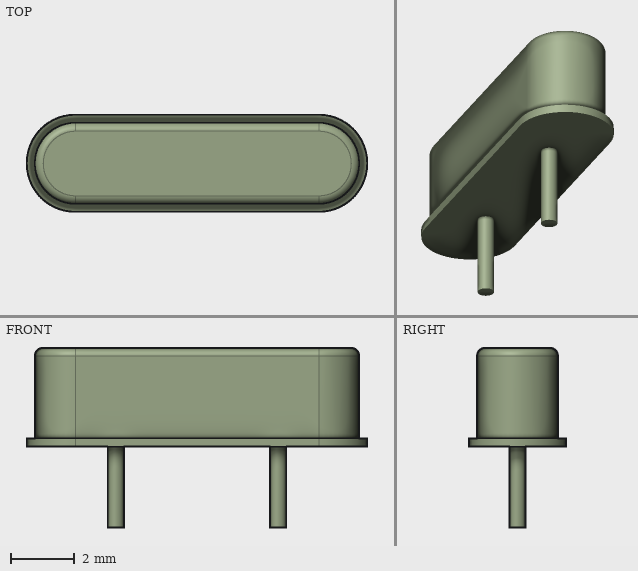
import cadquery as cq

flange_length = 10.67
flange_width = 3.05
flange_thickness = 0.26

flange_lip = 0.26
can_length = flange_length - 2 * flange_lip
can_width = flange_width - 2 * flange_lip
total_height = 5.63
top_fillet = 0.26

pin_diameter = 0.51
pin_length = 2.54
pin_spacing = 5.08
can_height = total_height - pin_length - flange_thickness


def rounded_plate(length, width, height, base_z):
    """Extrude a slot-shaped outline upward from base_z."""
    return cq.Workplane("XY", origin=(0, 0, base_z)).slot2D(length, width).extrude(height)


flange = rounded_plate(flange_length, flange_width, flange_thickness, 0)

can = rounded_plate(can_length, can_width, can_height, flange_thickness)
can = can.faces(">Z").edges().fillet(top_fillet)

pins = (
    cq.Workplane("XY")
    .pushPoints([(-pin_spacing / 2, 0), (pin_spacing / 2, 0)])
    .circle(pin_diameter / 2)
    .extrude(-pin_length)
)

result = flange.union(can).union(pins)